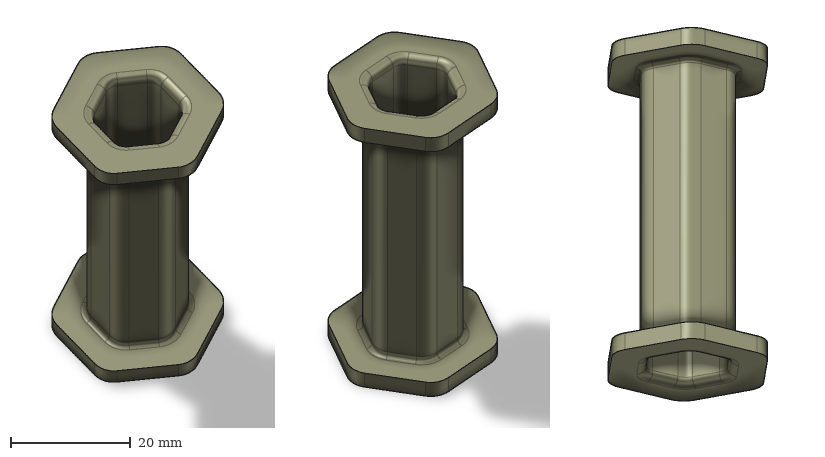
import cadquery as cq
import math

total_height = 55.7
flange_thickness = 3.0
flange_across_flats = 26.0
flange_corner_radius = 4.0

bore_across_flats = 13.6
bore_corner_radius = 2.45
wall_thickness = 1.05
tube_across_flats = bore_across_flats + 2 * wall_thickness
tube_corner_radius = bore_corner_radius + wall_thickness

root_fillet_radius = 1.0
mouth_fillet_radius = 1.55


def across_corners(across_flats):
    """Corner-to-corner width of a sharp hexagon."""
    return across_flats / math.cos(math.pi / 6)


def hex_prism(across_flats, corner_radius, height, base_z=0.0):
    """Upright hexagonal prism with flats facing +Y and -Y and rounded corners."""
    return (
        cq.Workplane("XY")
        .workplane(offset=base_z)
        .polygon(6, across_corners(across_flats))
        .extrude(height)
        .edges("|Z")
        .fillet(corner_radius)
    )


def edges_around_axis(body, half_width, level):
    """Edges at one height that lie within a square around the Z axis."""
    tolerance = 0.05
    near_axis = cq.selectors.BoxSelector(
        (-half_width, -half_width, level - tolerance),
        (half_width, half_width, level + tolerance),
    )
    return body.edges(near_axis)


body = hex_prism(tube_across_flats, tube_corner_radius, total_height)
for flange_base_z in (0.0, total_height - flange_thickness):
    flange = hex_prism(flange_across_flats, flange_corner_radius, flange_thickness, flange_base_z)
    body = body.union(flange)

tube_half_width = across_corners(tube_across_flats) / 2
for root_level in (flange_thickness, total_height - flange_thickness):
    body = edges_around_axis(body, tube_half_width, root_level).fillet(root_fillet_radius)

body = body.cut(hex_prism(bore_across_flats, bore_corner_radius, total_height))
for mouth_level in (0.0, total_height):
    body = edges_around_axis(body, tube_half_width, mouth_level).fillet(mouth_fillet_radius)

result = body